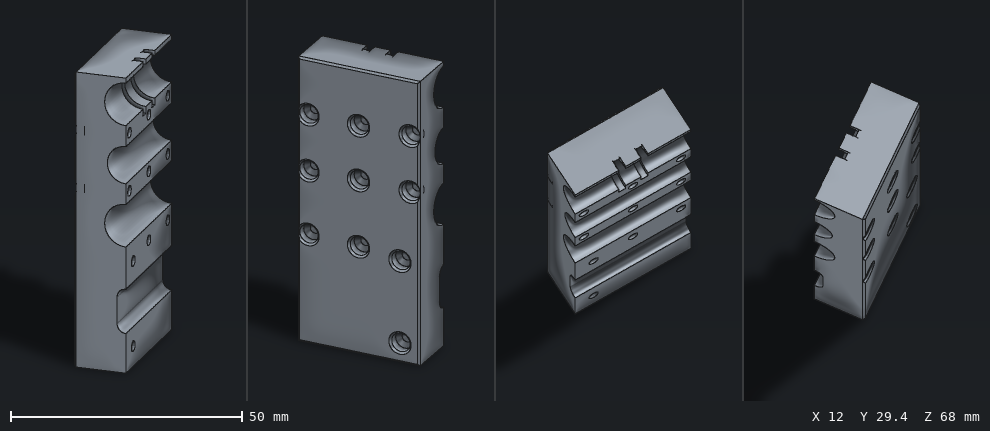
import cadquery as cq

thickness = 12.0
width = 29.4
height = 68.0
edge_chamfer = 0.5

top_groove = (61.95, 4.9)
middle_groove = (47.95, 4.3)
bottom_groove = (34.0, 4.9)

channel_center_z = 14.3
channel_height = 10.2
channel_depth = 2.05

strap_slot_radius = 6.45
strap_slot_width = 1.8
strap_slot_spacing = 5.65
strap_slot_middle_y = 14.75

bore_diameter = 2.3
head_diameter = 4.4
head_depth = 2.4
rim_chamfer = 0.5

near_y = 2.25
channel_y = 4.7
middle_y = 14.7
far_y = 26.85
screw_positions = [
    (near_y, 54.7),
    (near_y, 41.3),
    (channel_y, 24.3),
    (channel_y, 4.7),
    (middle_y, 54.55),
    (middle_y, 41.5),
    (middle_y, 25.65),
    (far_y, 54.7),
    (far_y, 41.3),
    (far_y, 26.05),
]


def make_block():
    block = cq.Workplane("XY").box(thickness, width, height, centered=False)
    return block.faces("<X").chamfer(edge_chamfer)


def cylinder_along_y(center_z, radius, start_y, length):
    """Cylinder parallel to Y with its axis on the +X face."""
    axis_start = cq.Vector(thickness, start_y, center_z)
    return cq.Workplane(cq.Solid.makeCylinder(radius, length, axis_start, cq.Vector(0, 1, 0)))


def make_channel():
    """Full-width channel whose ends are quarter circles centred on the +X face."""
    end_offset = channel_height / 2 - channel_depth
    flat = cq.Workplane("XY").box(2 * channel_depth, width, 2 * end_offset)
    channel = flat.translate((thickness, width / 2, channel_center_z))
    for side in (-1, 1):
        end_z = channel_center_z + side * end_offset
        channel = channel.union(cylinder_along_y(end_z, channel_depth, 0, width))
    return channel


def make_screw_hole(y, z):
    """Through bore with a cylindrical head recess, a 45 degree seat and a chamfered rim."""
    bore_radius = bore_diameter / 2
    head_radius = head_diameter / 2
    seat_end = head_depth + head_radius - bore_radius
    half_section = [
        (0, 0),
        (0, head_radius + rim_chamfer),
        (rim_chamfer, head_radius),
        (head_depth, head_radius),
        (seat_end, bore_radius),
        (thickness, bore_radius),
        (thickness, 0),
    ]
    profile = cq.Workplane("XY").polyline(half_section).close()
    return profile.revolve(360, (0, 0, 0), (1, 0, 0)).translate((0, y, z))


result = make_block()

for groove_z, groove_radius in (top_groove, middle_groove, bottom_groove):
    result = result.cut(cylinder_along_y(groove_z, groove_radius, 0, width))

result = result.cut(make_channel())

for side in (-1, 1):
    slot_start_y = strap_slot_middle_y + side * strap_slot_spacing / 2 - strap_slot_width / 2
    result = result.cut(cylinder_along_y(top_groove[0], strap_slot_radius, slot_start_y, strap_slot_width))

for hole_y, hole_z in screw_positions:
    result = result.cut(make_screw_hole(hole_y, hole_z))